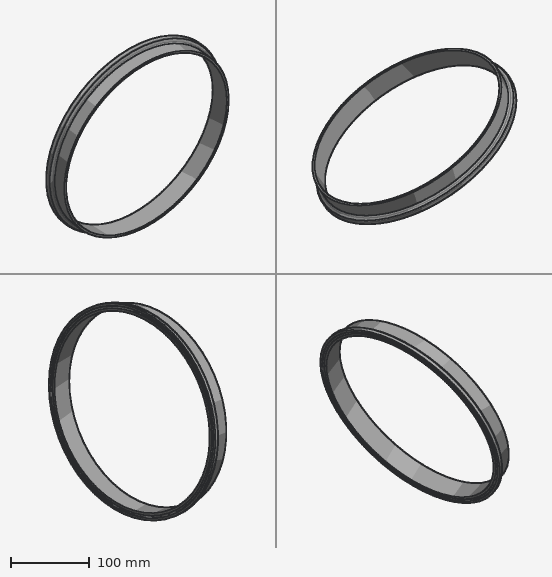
import cadquery as cq
import math

flange_radius = 143.0
tube_radius = 136.5
bore_radius = 133.0
length = 28.0

rim_width = 5.0
rim_round_end = (6.0, 142.0)
cone_end = (7.7, 138.5)
fillet_end_x = 9.5

groove_radius = 138.0
groove_half_width = 1.55
groove_depth = 1.1
groove_edge_round = 0.72
radius_tolerance = 0.03


def revolve_about_x(profile):
    return profile.close().revolve(360, (0, 0, 0), (1, 0, 0))


def make_body():
    profile = (
        cq.Workplane("XY")
        .moveTo(0, bore_radius)
        .lineTo(0, flange_radius)
        .lineTo(rim_width, flange_radius)
        .tangentArcPoint(rim_round_end, relative=False)
        .lineTo(*cone_end)
        .tangentArcPoint((fillet_end_x, tube_radius), relative=False)
        .lineTo(length, tube_radius)
        .lineTo(length, bore_radius)
    )
    return revolve_about_x(profile)


def make_groove_cutter():
    profile = (
        cq.Workplane("XY")
        .moveTo(0, groove_radius - groove_half_width)
        .threePointArc((groove_depth, groove_radius), (0, groove_radius + groove_half_width))
    )
    return revolve_about_x(profile)


def round_groove_edges(body):
    edge_radii = (groove_radius - groove_half_width, groove_radius + groove_half_width)
    edges = [
        edge
        for edge in body.edges("%CIRCLE").vals()
        if any(math.isclose(edge.radius(), radius, abs_tol=radius_tolerance) for radius in edge_radii)
    ]
    return body.newObject(edges).fillet(groove_edge_round)


result = round_groove_edges(make_body().cut(make_groove_cutter()))